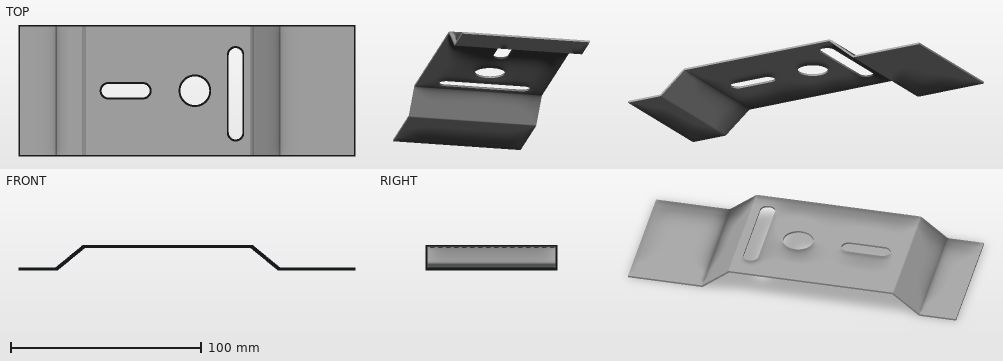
import cadquery as cq
import math

length = 176.53
width = 68.41
height = 12.86
thickness = 1.0

left_foot_length = 19.5
ramp_run = 14.4
platform_length = 88.5

inner_bend_radius = 0.5
outer_bend_radius = inner_bend_radius + thickness

slot_width = 8.0
lengthwise_slot_length = 26.2
lengthwise_slot_x = 56.0
round_hole_diameter = 16.0
round_hole_x = 92.4
crosswise_slot_length = 49.0
crosswise_slot_x = 113.8
crosswise_slot_y = -1.6

rise = height - thickness
ramp_angle = math.atan2(rise, ramp_run)
corner_shift = thickness * math.tan(ramp_angle / 2)


def make_sheet():
    """Constant-thickness strip: foot, ramp up, platform, ramp down, foot."""
    ramp_up_start = left_foot_length
    ramp_up_end = ramp_up_start + ramp_run
    ramp_down_start = ramp_up_end + platform_length
    ramp_down_end = ramp_down_start + ramp_run

    upper_corners = [
        (ramp_up_start, thickness),
        (ramp_up_end, height),
        (ramp_down_start, height),
        (ramp_down_end, thickness),
    ]
    lower_corners = [
        (ramp_down_end - corner_shift, 0),
        (ramp_down_start - corner_shift, rise),
        (ramp_up_end + corner_shift, rise),
        (ramp_up_start + corner_shift, 0),
    ]
    outline = [(0, 0), (0, thickness)] + upper_corners
    outline += [(length, thickness), (length, 0)] + lower_corners

    sheet = cq.Workplane("XZ").polyline(outline).close().extrude(width / 2, both=True)
    corners = upper_corners + lower_corners
    radii = [inner_bend_radius, outer_bend_radius, outer_bend_radius, inner_bend_radius]
    radii += [outer_bend_radius, inner_bend_radius, inner_bend_radius, outer_bend_radius]
    for (x, z), radius in zip(corners, radii):
        bend_edge = cq.selectors.NearestToPointSelector((x, 0, z))
        sheet = sheet.edges("|Y").edges(bend_edge).fillet(radius)
    return sheet


def cut_openings(sheet):
    """Cut the two slots and the round hole down through the platform."""
    plane = cq.Workplane("XY")
    lengthwise_slot = (
        plane.center(lengthwise_slot_x, 0)
        .slot2D(lengthwise_slot_length, slot_width)
        .extrude(height)
    )
    round_hole = plane.center(round_hole_x, 0).circle(round_hole_diameter / 2).extrude(height)
    crosswise_slot = (
        plane.center(crosswise_slot_x, crosswise_slot_y)
        .slot2D(crosswise_slot_length, slot_width, 90)
        .extrude(height)
    )
    return sheet.cut(lengthwise_slot).cut(round_hole).cut(crosswise_slot)


result = cut_openings(make_sheet()).translate((-length / 2, 0, 0))